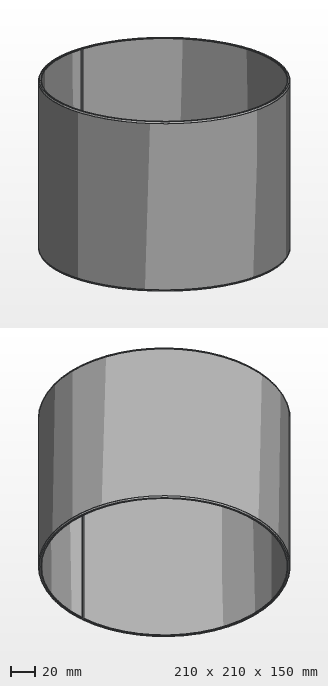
import cadquery as cq

outer_diameter = 210.0
height = 150.0
wall = 2.5
outer_bevel_depth = 0.74
outer_bevel_height = 1.5
inner_bevel = 0.5
slit_width = 1.9
slit_start_y = 0.0

outer_radius = outer_diameter / 2
inner_radius = outer_radius - wall

wall_section = [
    (inner_radius + inner_bevel, 0),
    (outer_radius - outer_bevel_depth, 0),
    (outer_radius, outer_bevel_height),
    (outer_radius, height - outer_bevel_height),
    (outer_radius - outer_bevel_depth, height),
    (inner_radius + inner_bevel, height),
    (inner_radius, height - inner_bevel),
    (inner_radius, inner_bevel),
]
sleeve = (
    cq.Workplane("XZ")
    .polyline(wall_section)
    .close()
    .revolve(360, (0, 0, 0), (0, 1, 0))
)

slit = (
    cq.Workplane("XY")
    .box(outer_radius, slit_width, height, centered=False)
    .translate((-outer_radius, slit_start_y, 0))
)

result = sleeve.cut(slit)